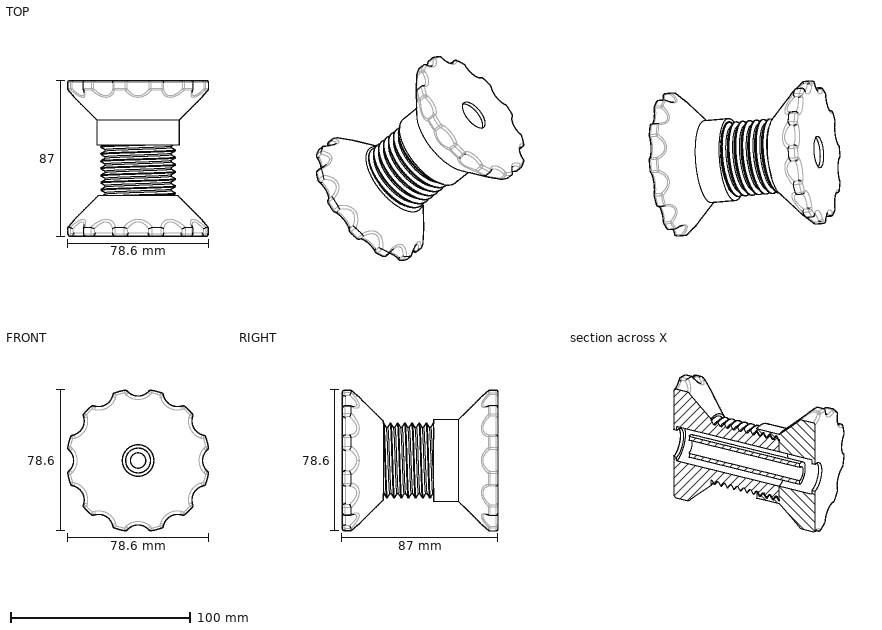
import cadquery as cq
import math

LENGTH = 87.0

RIM_DIAMETER = 79.95
RIM_WIDTH = 5.05
SCALLOP_COUNT = 12
SCALLOP_RADIUS = 8.0
SCALLOP_FLOOR = 36.0
FRONT_RIM_FILLET = 1.5
FRONT_SCALLOP_FILLET = 2.0
REAR_FILLET = 1.2
HEIGHT_TOLERANCE = 0.01

FRONT_CONE_END = 23.0
REAR_LENGTH = 36.0
COLLAR_DIAMETER = 46.0

LIP_DIAMETER = 17.5
LIP_THICKNESS = 2.0
BORE_DIAMETER = 22.4

THREAD_PITCH = 4.0
THREAD_ROOT_DIAMETER = 37.15
THREAD_CREST_DIAMETER = 41.7
SOCKET_CLEARANCE = 0.39
CREST_WIDTH = THREAD_PITCH / 8
FLANK_ANGLE = 30.0
THREAD_PHASE = 44.0
ROOT_EMBED = 0.4

SPACER_DIAMETER = 14.0
SPACER_BORE = 8.4
BEARING_WIDTH = 7.4

rim_radius = RIM_DIAMETER / 2
rear_mouth = LENGTH - REAR_LENGTH
rear_cone_length = rim_radius - COLLAR_DIAMETER / 2
front_cone_radius = rim_radius - (FRONT_CONE_END - RIM_WIDTH)
stud_end = LENGTH - RIM_WIDTH - rear_cone_length
scallop_face_limit = (rim_radius + SCALLOP_FLOOR) / 2


def cylinder(diameter, bottom, top):
    """A cylinder on the Z axis between two heights."""
    return cq.Workplane("XY").workplane(offset=bottom).circle(diameter / 2).extrude(top - bottom)


def grip_cone(small_radius, rim_fillet, scallop_fillet, round_rim_top):
    """A grip rim on Z = 0 with a 45 degree cone narrowing upwards, scalloped and rounded."""
    cone_end = RIM_WIDTH + rim_radius - small_radius
    profile = [(0, 0), (rim_radius, 0), (rim_radius, RIM_WIDTH), (small_radius, cone_end), (0, cone_end)]
    body = cq.Workplane("XZ").polyline(profile).close().revolve(360, (0, 0, 0), (0, 1, 0))
    rim_heights = [0, RIM_WIDTH] if round_rim_top else [0]
    rim_edges = [
        edge
        for edge in body.edges("%CIRCLE").vals()
        if any(abs(edge.Center().z - height) < HEIGHT_TOLERANCE for height in rim_heights)
    ]
    body = body.newObject(rim_edges).fillet(rim_fillet)

    scallops = (
        cq.Workplane("XY")
        .polarArray(SCALLOP_FLOOR + SCALLOP_RADIUS, 0, 360, SCALLOP_COUNT)
        .circle(SCALLOP_RADIUS)
        .extrude(cone_end)
    )
    body = body.cut(scallops)
    scallop_edges = [
        edge
        for face in body.faces("%CYLINDER").vals()
        if math.hypot(face.Center().x, face.Center().y) < scallop_face_limit
        for edge in face.Edges()
    ]
    return body.newObject(scallop_edges).fillet(scallop_fillet)


def thread_ridge(clearance, bottom, top):
    """The helical ridge of the thread, trimmed flat at two heights."""
    root = THREAD_ROOT_DIAMETER / 2 + clearance
    crest = THREAD_CREST_DIAMETER / 2 + clearance
    inner = root - ROOT_EMBED
    half_crest = CREST_WIDTH / 2
    half_base = half_crest + (crest - inner) * math.tan(math.radians(FLANK_ANGLE))
    turns_below = math.ceil((THREAD_PHASE - bottom) / THREAD_PITCH) + 1
    start = THREAD_PHASE - turns_below * THREAD_PITCH
    turns = math.ceil((top - start) / THREAD_PITCH) + 1
    helix = cq.Wire.makeHelix(THREAD_PITCH, turns * THREAD_PITCH, inner, cq.Vector(0, 0, start))
    profile = [
        (inner, start - half_base),
        (crest, start - half_crest),
        (crest, start + half_crest),
        (inner, start + half_base),
    ]
    ridge = cq.Workplane("XZ").polyline(profile).close().sweep(cq.Workplane(helix), isFrenet=True)
    slice_diameter = THREAD_CREST_DIAMETER + THREAD_PITCH
    return ridge.intersect(cylinder(slice_diameter, bottom, top))


def threaded_rod(clearance, bottom, top):
    """A solid threaded rod, used for the stud and, enlarged, for its socket."""
    core = cylinder(THREAD_ROOT_DIAMETER + 2 * clearance, bottom, top)
    return core.union(thread_ridge(clearance, bottom, top))


def front_knob():
    """The knob with the threaded stud, bored through from its lip to the stud end."""
    body = grip_cone(front_cone_radius, FRONT_RIM_FILLET, FRONT_SCALLOP_FILLET, False)
    body = body.union(threaded_rod(0, FRONT_CONE_END, stud_end))
    body = body.cut(cylinder(LIP_DIAMETER, 0, LIP_THICKNESS))
    return body.cut(cylinder(BORE_DIAMETER, LIP_THICKNESS, stud_end))


def rear_knob():
    """The knob with the plain collar, whose threaded socket takes the stud."""
    cone = grip_cone(COLLAR_DIAMETER / 2, REAR_FILLET, REAR_FILLET, True)
    body = cone.rotate((0, 0, 0), (1, 0, 0), 180).translate((0, 0, LENGTH))
    body = body.union(cylinder(COLLAR_DIAMETER, rear_mouth, stud_end))
    body = body.cut(threaded_rod(SOCKET_CLEARANCE, rear_mouth, stud_end))
    body = body.cut(cylinder(BORE_DIAMETER, stud_end, LENGTH - LIP_THICKNESS))
    return body.cut(cylinder(LIP_DIAMETER, LENGTH - LIP_THICKNESS, LENGTH))


def spacer_tube():
    """The tube on the axis that keeps the two bearings apart."""
    seat = LIP_THICKNESS + BEARING_WIDTH
    tube = cylinder(SPACER_DIAMETER, seat, LENGTH - seat)
    return tube.cut(cylinder(SPACER_BORE, seat, LENGTH - seat))


def lay_along_y(body):
    """Turn a body so that its Z axis points along +Y, and return its solid."""
    return body.rotate((0, 0, 0), (1, 0, 0), -90).solids().val()


front = lay_along_y(front_knob())
rear = lay_along_y(rear_knob())
tube = lay_along_y(spacer_tube())
result = cq.Compound.makeCompound([front, rear, tube])